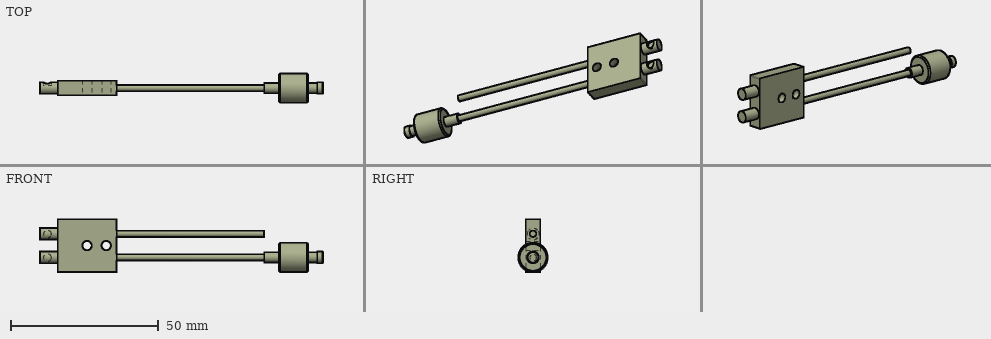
import cadquery as cq

block_length = 20.0
block_width = 5.0
block_height = 18.0
block_edge_radius = 0.25
mount_hole_diameter = 3.1
mount_hole_positions = (10.0, 16.5)

axis_spacing = 8.0
axis_heights = (-axis_spacing / 2, axis_spacing / 2)

pin_diameter = 4.0
pin_length = 5.95
pocket_diameter = 2.6
pocket_depth = 1.0
pocket_offset = 3.5

rod_diameter = 2.2
rod_length = 50.0

connector_start = block_length + rod_length
neck_diameter = 3.5
neck_length = 5.0
drum_diameter = 10.0
drum_length = 10.0
drum_chamfer = 0.5
stem_length = 3.0
tip_diameter = 4.0
tip_length = 2.0
tip_chamfer = 0.2


def cylinder_along_x(start, length, diameter, height):
    """Cylinder along +X from X = start, with its axis at Z = height."""
    return cq.Workplane("YZ", origin=(start, 0, height)).circle(diameter / 2).extrude(length)


def make_block():
    body = cq.Workplane("XY").box(block_length, block_width, block_height, centered=(False, True, True))
    body = body.edges("<X and |Y").fillet(block_edge_radius)
    holes = (
        cq.Workplane("XZ")
        .pushPoints([(x, 0) for x in mount_hole_positions])
        .circle(mount_hole_diameter / 2)
        .extrude(block_width, both=True)
    )
    return body.cut(holes)


def make_pin(height):
    """Pin with a shallow round pocket sunk into its +Y side."""
    pin = cylinder_along_x(-pin_length, pin_length, pin_diameter, height)
    pocket = (
        cq.Workplane("XZ", origin=(-pocket_offset, pin_diameter / 2, height))
        .circle(pocket_diameter / 2)
        .extrude(pocket_depth)
    )
    return pin.cut(pocket)


def make_rod(height):
    return cylinder_along_x(block_length, rod_length, rod_diameter, height)


def make_connector(height):
    """Neck, chamfered drum, stem and enlarged tip in one turned piece."""
    drum_start = connector_start + neck_length
    stem_start = drum_start + drum_length
    tip_start = stem_start + stem_length
    neck = cylinder_along_x(connector_start, neck_length, neck_diameter, height)
    drum = cylinder_along_x(drum_start, drum_length, drum_diameter, height).edges().chamfer(drum_chamfer)
    stem = cylinder_along_x(stem_start, stem_length, neck_diameter, height)
    tip = cylinder_along_x(tip_start, tip_length, tip_diameter, height).faces(">X").chamfer(tip_chamfer)
    return neck.union(drum).union(stem).union(tip)


block = make_block()
pins = [make_pin(height) for height in axis_heights]
rods = [make_rod(height) for height in axis_heights]
connector = make_connector(min(axis_heights))

result = cq.Compound.makeCompound(
    [block.val(), *[pin.val() for pin in pins], *[rod.val() for rod in rods], connector.val()]
)